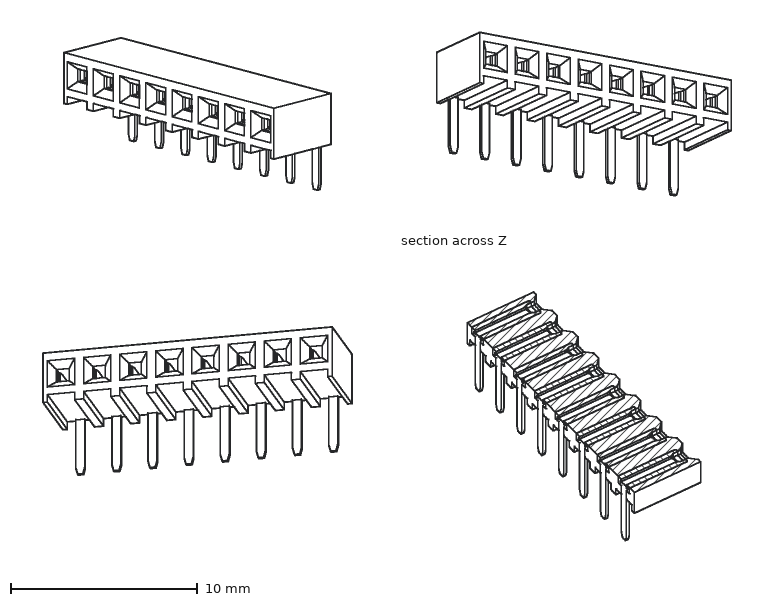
import cadquery as cq

socket_count = 8
housing_length = 16.0
housing_depth = 4.3
overall_height = 5.5
pitch = housing_length / socket_count

housing_height = 2.83
foot_height = 0.43
mouth_size = 1.5
mouth_top_wall = 0.46
bore_size = 0.7
funnel_depth = 0.4
bore_center_z = housing_height - mouth_top_wall - mouth_size / 2
bore_floor_z = bore_center_z - bore_size / 2

sheet_thickness = 0.2
contact_setback = 0.2
leg_width = 0.5
finger_rise = 0.11
side_finger_lift = 0.1
ramp_setback = 0.29
bend_rise = 0.06
bend_length = 0.1
ramp_length = 0.32
tip_width = 0.3
taper_height = 0.35
leg_bottom_z = housing_height - overall_height
channel_front_y = funnel_depth + contact_setback
ramp_start_y = channel_front_y + ramp_setback
ramp_end_y = ramp_start_y + ramp_length


def box(size_x, size_y, size_z, center_x, front_y, bottom_z):
    """Box centred on center_x that grows back from front_y and up from bottom_z."""
    return (
        cq.Workplane("XY")
        .box(size_x, size_y, size_z, centered=(True, False, False))
        .translate((center_x, front_y, bottom_z))
    )


def bore_block(center_x):
    """Square bore, front to back."""
    return box(bore_size, housing_depth, bore_size, center_x, 0, bore_floor_z)


def socket_cut(center_x):
    """Square funnel that narrows into a square bore through to the back."""
    funnel = (
        cq.Workplane("XZ", origin=(center_x, 0, bore_center_z))
        .rect(mouth_size, mouth_size)
        .workplane(offset=-funnel_depth)
        .rect(bore_size, bore_size)
        .loft(ruled=True)
    )
    return funnel.union(bore_block(center_x))


def foot_gap_cut(center_x):
    """Channel along Y between two feet."""
    return box(mouth_size, housing_depth, foot_height, center_x, 0, 0)


def leg_slot_cut(center_x):
    """Slot in the back face that lets the leg down from the bore."""
    back_y = housing_depth - sheet_thickness
    return box(leg_width, sheet_thickness, bore_floor_z, center_x, back_y, 0)


def channel_envelope(center_x):
    """Block that holds the channel: the bore plus a sheet thickness at the sides and below."""
    outer_width = bore_size + 2 * sheet_thickness
    outer_height = bore_size + sheet_thickness
    length = housing_depth - channel_front_y
    return box(outer_width, length, outer_height, center_x, channel_front_y, bore_floor_z - sheet_thickness)


def make_housing(socket_positions):
    """Block with sockets, feet and a matching recess for every contact."""
    housing = box(housing_length, housing_depth, housing_height, 0, 0, 0)
    for center_x in socket_positions:
        housing = housing.cut(socket_cut(center_x))
        housing = housing.cut(foot_gap_cut(center_x))
        housing = housing.cut(leg_slot_cut(center_x))
        housing = housing.cut(channel_envelope(center_x))
    return housing


def make_leg(center_x):
    """Flat leg, flush with the housing back, with a tapered tip."""
    shoulder_z = leg_bottom_z + taper_height
    return (
        cq.Workplane("XZ", origin=(center_x, housing_depth, 0))
        .moveTo(-tip_width / 2, leg_bottom_z)
        .lineTo(tip_width / 2, leg_bottom_z)
        .lineTo(leg_width / 2, shoulder_z)
        .lineTo(leg_width / 2, bore_floor_z)
        .lineTo(-leg_width / 2, bore_floor_z)
        .lineTo(-leg_width / 2, shoulder_z)
        .close()
        .extrude(sheet_thickness)
    )


def finger_bar(width):
    """Finger along Y, centred on X = 0, that ramps up from Z = 0."""
    return (
        cq.Workplane("YZ")
        .moveTo(ramp_start_y, 0)
        .lineTo(housing_depth, 0)
        .lineTo(housing_depth, finger_rise)
        .lineTo(ramp_end_y, finger_rise)
        .lineTo(ramp_start_y + bend_length, bend_rise)
        .close()
        .extrude(width / 2, both=True)
    )


def make_side_finger(center_x, side):
    """Finger on the channel wall at the given side (-1 or +1)."""
    finger_height = bore_size - side_finger_lift
    wall_x = center_x + side * bore_size / 2
    finger_center_z = bore_floor_z + side_finger_lift + finger_height / 2
    return (
        finger_bar(finger_height)
        .rotate((0, 0, 0), (0, 1, 0), -90 * side)
        .translate((wall_x, 0, finger_center_z))
    )


def make_contact(center_x):
    """Channel, leg and three spring fingers as one solid."""
    channel = channel_envelope(center_x).cut(bore_block(center_x))
    floor_finger = finger_bar(leg_width).translate((center_x, 0, bore_floor_z))
    contact = channel.union(make_leg(center_x)).union(floor_finger)
    for side in (-1, 1):
        contact = contact.union(make_side_finger(center_x, side))
    return contact


socket_positions = [(index - (socket_count - 1) / 2) * pitch for index in range(socket_count)]
housing = make_housing(socket_positions)
contacts = [make_contact(center_x) for center_x in socket_positions]

result = cq.Compound.makeCompound([housing.val(), *[contact.val() for contact in contacts]])